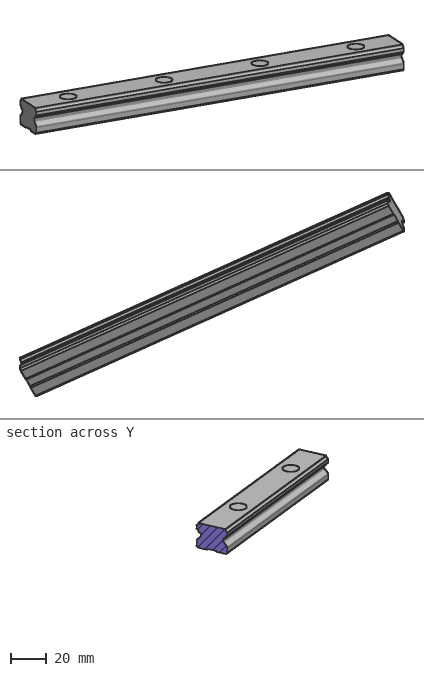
import cadquery as cq

length = 230.0
width = 20.0
height = 15.5
half_width = width / 2

land_top = 13.5
land_height = 2.18
land_bottom = land_top - land_height
race_half_width = 8.7
race_rise = 1.4
race_radius = 1.5

flank_rise = 2.8
flank_fillet = 0.7

slot_top = 9.5
slot_height = 1.95
slot_bottom = slot_top - slot_height
slot_mouth_half_width = 8.0
slot_floor_half_width = half_width - flank_rise
slot_fillet = 0.7
base_land_top = slot_bottom - flank_rise

bottom_chamfer = 1.2
channel_mouth_half_width = 3.2
channel_floor_half_width = 2.3
channel_depth = 0.58

hole_count = 4
hole_pitch = 60.0
hole_diameter = 9.5
cap_recess = 0.12


def half_profile():
    """Right half of the rail section, closed along the centre line."""
    return (
        cq.Workplane("XZ", origin=(0, length / 2, 0))
        .lineTo(half_width - bottom_chamfer, 0)
        .lineTo(half_width, bottom_chamfer)
        .lineTo(half_width, base_land_top)
        .lineTo(slot_floor_half_width, slot_bottom)
        .lineTo(slot_floor_half_width, slot_top)
        .lineTo(slot_mouth_half_width, slot_top)
        .lineTo(race_half_width, land_bottom - race_rise)
        .radiusArc((half_width, land_bottom), race_radius)
        .lineTo(half_width, land_top)
        .radiusArc((race_half_width, land_top + race_rise), race_radius)
        .lineTo(race_half_width, height)
        .lineTo(0, height)
        .close()
    )


def edges_along_rail(x, z):
    """Selector for the lengthwise edge at section position (x, z)."""
    return cq.selectors.NearestToPointSelector((x, 0, z))


def rail_body():
    """Full rail, extruded along Y and mirrored about the centre plane."""
    half = half_profile().extrude(length)
    half = half.edges(edges_along_rail(half_width, base_land_top)).fillet(flank_fillet)
    for z in (slot_bottom, slot_top):
        half = half.edges(edges_along_rail(slot_floor_half_width, z)).fillet(slot_fillet)
    return half.union(half.mirror("YZ")).clean()


def bottom_channel():
    """Shallow relief with sloped sides along the underside."""
    return (
        cq.Workplane("XZ", origin=(0, length / 2, 0))
        .moveTo(-channel_mouth_half_width, 0)
        .lineTo(-channel_floor_half_width, channel_depth)
        .lineTo(channel_floor_half_width, channel_depth)
        .lineTo(channel_mouth_half_width, 0)
        .close()
        .extrude(length)
    )


def cap_recesses():
    """Shallow round recesses spaced evenly along the top face."""
    return (
        cq.Workplane("XY", origin=(0, 0, height - cap_recess))
        .rarray(2.3, hole_pitch, 1, hole_count)
        .circle(hole_diameter / 2)
        .extrude(cap_recess)
    )


result = rail_body().cut(bottom_channel()).cut(cap_recesses())